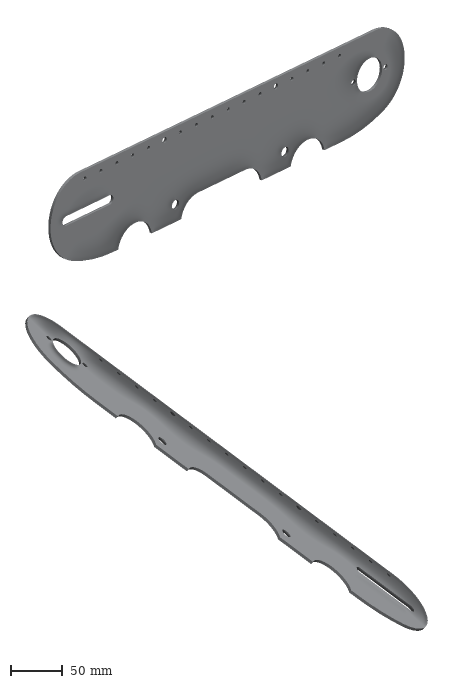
import cadquery as cq
import math

thickness = 3.0
length = 503.09
height = 102.82
end_radius = 50.0
top_edge = 45.0
bottom_edge = top_edge - height
far_center = length - 2 * end_radius

shoulder_radius = 42.0
flank_radius = 150.0

bore_diameter = 35.5
bore_fixing_diameter = 6.1
bore_fixing_offset = 22.6

row_pitch = 22.6
row_count = 17
row_start = 42.5
row_depth = 9.0
row_diameter = 4.1
row_large_diameter = 6.2
row_large_indices = (4, 11)

slot_width = 10.2
slot_near_center = 368.9
slot_far_center = 430.9

scallop_radius = 24.3
scallop_depth = 20.0
scallop_positions = (88.0, 177.0, 243.5, 333.0)

mount_diameter = 10.2
mount_offset = 32.0
mount_height = -39.3


def blend_arc(edge_distance, radius):
    """Arc tangent inside to both the end circle and a straight plate edge.

    Distances are measured from the end circle's center: the run outward along the
    plate and the distance toward the edge. Returns the arc's edge, middle and end
    circle points.
    """
    center_toward = edge_distance - radius
    center_run = math.copysign(
        math.sqrt((end_radius - radius) ** 2 - center_toward**2),
        end_radius - radius,
    )
    circle_angle = math.atan(center_toward / center_run)
    middle_angle = (circle_angle + math.pi / 2) / 2
    return [
        (
            center_run + radius * math.cos(angle),
            center_toward + radius * math.sin(angle),
        )
        for angle in (math.pi / 2, middle_angle, circle_angle)
    ]


def end_outline(sign, center):
    """Points of one rounded end, from the top edge round to the bottom edge.

    sign is +1 for the end on the +Y side and -1 for the other end.
    """
    shoulder = blend_arc(top_edge, shoulder_radius)
    flank = [(run, -toward) for run, toward in blend_arc(-bottom_edge, flank_radius)]
    end_tip = (end_radius, 0)
    points = shoulder + [end_tip] + flank[::-1]
    return [(center + sign * run, z) for run, z in points]


def add_arcs(outline, points):
    """Continue the outline along the chain of arcs through the points."""
    for middle, end in zip(points[1::2], points[2::2]):
        outline = outline.threePointArc(middle, end)
    return outline


def make_plate():
    near = end_outline(1, 0)
    far = end_outline(-1, -far_center)[::-1]
    outline = cq.Workplane("YZ").moveTo(*near[0])
    outline = add_arcs(outline, near)
    outline = outline.lineTo(*far[0])
    outline = add_arcs(outline, far)
    return outline.close().extrude(thickness)


def cylinders(locations, diameter):
    """Through cutters at (distance along, z) locations."""
    points = [(-along, z) for along, z in locations]
    return cq.Workplane("YZ").pushPoints(points).circle(diameter / 2).extrude(thickness)


def box(start, end, bottom, top):
    """Rectangular through cutter."""
    return (
        cq.Workplane("YZ")
        .center(-(start + end) / 2, (bottom + top) / 2)
        .rect(end - start, top - bottom)
        .extrude(thickness)
    )


def cut_bore(plate):
    fixings = [(-bore_fixing_offset, 0), (bore_fixing_offset, 0)]
    plate = plate.cut(cylinders([(0, 0)], bore_diameter))
    return plate.cut(cylinders(fixings, bore_fixing_diameter))


def cut_hole_row(plate):
    for index in range(row_count):
        diameter = row_large_diameter if index in row_large_indices else row_diameter
        location = (row_start + index * row_pitch, top_edge - row_depth)
        plate = plate.cut(cylinders([location], diameter))
    return plate


def cut_slot(plate):
    ends = [(slot_near_center, 0), (slot_far_center, 0)]
    plate = plate.cut(cylinders(ends, slot_width))
    return plate.cut(box(slot_near_center, slot_far_center, -slot_width / 2, slot_width / 2))


def cut_scallops(plate):
    recess_top = bottom_edge + scallop_depth
    center_z = recess_top - scallop_radius
    locations = [(along, center_z) for along in scallop_positions]
    plate = plate.cut(cylinders(locations, 2 * scallop_radius))
    return plate.cut(box(scallop_positions[1], scallop_positions[2], center_z, recess_top))


def cut_mount_holes(plate):
    locations = [(along + mount_offset, mount_height) for along in scallop_positions[::2]]
    return plate.cut(cylinders(locations, mount_diameter))


result = make_plate()
result = cut_bore(result)
result = cut_hole_row(result)
result = cut_slot(result)
result = cut_scallops(result)
result = cut_mount_holes(result)